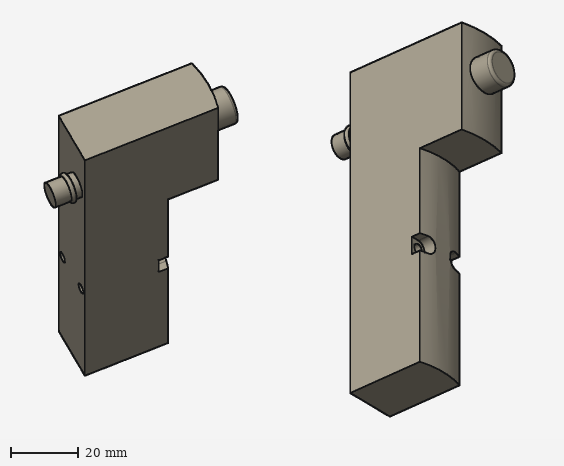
import cadquery as cq

width = 18.1
height = 111.8
head_height = 37.3
head_side_depth = 44.2
head_crown_depth = 45.3
lower_side_depth = 27.6
lower_crown_depth = 29.0
head_bottom = height - head_height

connector_diameter = 12.0
connector_end = 52.5
connector_drop = 14.9
connector_rounding = 1.0

plug_diameter = 8.0
plug_length = 8.8
plug_x = 3.4
plug_drop = 19.9
collar_radius = 0.8
collar_distance = 2.8

hole_diameter = 3.4
hole_spacing = 12.6
hole_drop = 70.0
recess_width = 6.0
recess_floor = 24.5


def crowned_block(side_depth, crown_depth, bottom, top):
    """Upright block with a flat front and an arched back."""
    return (
        cq.Workplane("XY", origin=(0, 0, bottom))
        .moveTo(-width / 2, 0)
        .lineTo(width / 2, 0)
        .lineTo(width / 2, side_depth)
        .threePointArc((0, crown_depth), (-width / 2, side_depth))
        .close()
        .extrude(top - bottom)
    )


def cylinder_along_y(diameter, x, z, start, end):
    """Cylinder along Y from start to end."""
    return (
        cq.Workplane("XZ", origin=(x, start, z))
        .circle(diameter / 2)
        .extrude(start - end)
    )


def connector():
    """Cylinder rooted in the head, with a rounded free end."""
    root = head_side_depth
    body = cylinder_along_y(connector_diameter, 0, height - connector_drop, root, connector_end)
    return body.faces(">Y").edges().fillet(connector_rounding)


def plug():
    """Round pin with a collar of half-round section, revolved about its axis."""
    pin_radius = plug_diameter / 2
    return (
        cq.Workplane("XY", origin=(plug_x, 0, height - plug_drop))
        .lineTo(pin_radius, 0)
        .lineTo(pin_radius, collar_radius - collar_distance)
        .threePointArc(
            (pin_radius + collar_radius, -collar_distance),
            (pin_radius, -collar_distance - collar_radius),
        )
        .lineTo(pin_radius, -plug_length)
        .lineTo(0, -plug_length)
        .close()
        .revolve(360, (0, 0), (0, 1))
    )


def mounting_cut(side):
    """Through hole with a recess open to the back and to the wall on the given side (-1 or 1)."""
    x = side * hole_spacing / 2
    axis_z = height - hole_drop
    hole = cylinder_along_y(hole_diameter, x, axis_z, 0, lower_crown_depth)
    round_end = cylinder_along_y(recess_width, x, axis_z, recess_floor, lower_crown_depth)
    opening = (
        cq.Workplane("XZ", origin=((x + side * width / 2) / 2, recess_floor, axis_z))
        .rect(width / 2 - hole_spacing / 2, recess_width)
        .extrude(recess_floor - lower_crown_depth)
    )
    return hole.union(round_end).union(opening)


head = crowned_block(head_side_depth, head_crown_depth, head_bottom, height)
lower_body = crowned_block(lower_side_depth, lower_crown_depth, 0, head_bottom)

body = head.union(lower_body)
for side in (-1, 1):
    body = body.cut(mounting_cut(side))

result = body.union(connector()).union(plug())